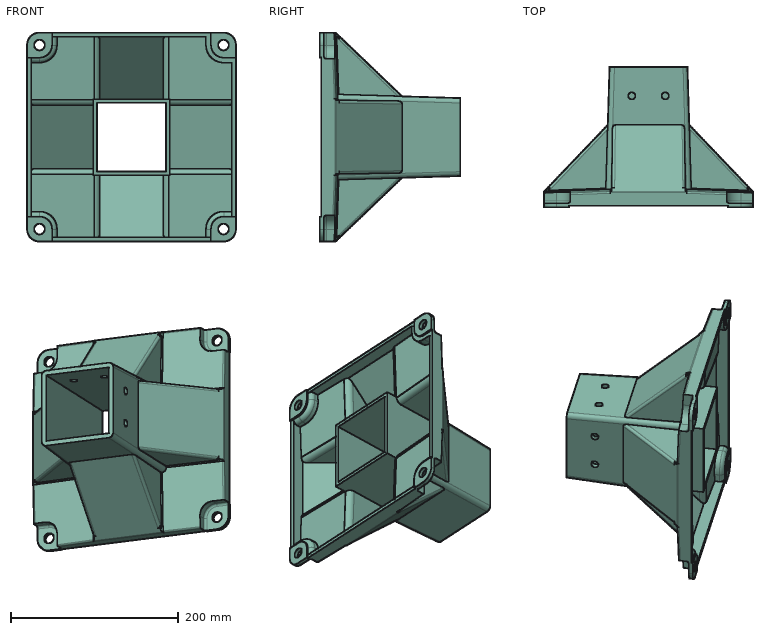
import cadquery as cq
import math

flange_half = 125.0
flange_corner_radius = 15.0
rim_front = 1.8
wall = 5.0
back_apex = 25.0
back_slope = 0.035
back_edge_radius = 2.0

socket_end = 168.0
socket_end_half = 46.8
socket_draft = 1.7
socket_corner_radius = 5.8
bore_half = 41.0
tube_half = 45.5

gusset_foot = 18.8
gusset_top = 98.5
gusset_top_half = 48.8
gusset_half_width = 44.2
gusset_draft = 0.7
gusset_edge_radius = 3.2
gusset_root_half = 43.8
gusset_root_radius = 2.0
pocket_half_width = 37.8
pocket_flare_radius = 7.0

bolt_inset = 15.0
bolt_diameter = 12.5
pad_side = 30.0
foot_floor = 5.0
recess_side = 31.5
recess_floor_radius = 3.0
cup_side = 36.0
cup_edge_radius = 5.5

cross_hole_diameter = 8.5
cross_hole_offset = 20.0
cross_hole_place = 133.2

corners = [(sx, sz) for sx in (-1, 1) for sz in (-1, 1)]
square_foot_corner = (1, 1)


def workplane_at(y):
    """Workplane at depth y whose extrusions grow towards +Y."""
    return cq.Workplane(cq.Plane((0, y, 0), (1, 0, 0), (0, 1, 0)))


def block(half, y_start, y_end):
    """Square block centred on the Y axis."""
    return workplane_at(y_start).rect(2 * half, 2 * half).extrude(y_end - y_start)


def tented_slab(half, y_start, apex):
    """Square slab whose back falls by back_slope along both X and Z."""
    slab = block(half, y_start, apex)
    for sx, sz in corners:
        normal = (sx * back_slope, 1, sz * back_slope)
        roof = cq.Plane((0, apex, 0), (1, -sx * back_slope, 0), normal)
        slab = slab.cut(cq.Workplane(roof).rect(4 * half, 4 * half).extrude(apex))
    return slab


def along_x_and_z(solid):
    """The solid joined with its copy turned a quarter about Y."""
    return solid.union(solid.rotate((0, 0, 0), (0, 1, 0), 90))


def roof_prism(foot_half, foot_y, top_half, top_y):
    """Trapezoid in X and Y, from the rim back, spanning the flange along Z."""
    outline = [
        (-foot_half, rim_front),
        (foot_half, rim_front),
        (foot_half, foot_y),
        (top_half, top_y),
        (-top_half, top_y),
        (-foot_half, foot_y),
    ]
    return cq.Workplane("XY").polyline(outline).close().extrude(flange_half, both=True)


def flared_arms(half_width, flare, apex, height):
    """Two arms along X that stand on a floor falling from apex, flared at their foot."""
    floor_y = apex - back_slope * half_width
    base_half = half_width + flare
    arms = cq.Workplane("XY")
    for side in (-1, 1):
        floor = cq.Plane((0, floor_y, 0), (0, 0, -side), (side, -back_slope, 0))
        arm = (
            cq.Workplane(floor)
            .moveTo(-base_half, 0)
            .radiusArc((-half_width, flare), -flare)
            .lineTo(-half_width, height)
            .lineTo(half_width, height)
            .lineTo(half_width, flare)
            .radiusArc((base_half, 0), -flare)
            .lineTo(base_half, -wall)
            .lineTo(-base_half, -wall)
            .close()
            .extrude(2 * flange_half)
        )
        arms = arms.union(arm) if arms.objects else arms.add(arm)
    return arms


def make_gussets():
    """Two crossing roofs: one gusset on each face of the socket."""
    roof = roof_prism(flange_half, gusset_foot, gusset_top_half, gusset_top)
    foot_edges = cq.selectors.BoxSelector(
        (-2 * flange_half, gusset_foot - 2.5, -2.5), (2 * flange_half, gusset_foot + 2.5, 2.5)
    )
    roof = roof.edges(foot_edges).fillet(back_edge_radius)
    drafted = (
        workplane_at(rim_front)
        .rect(4 * flange_half, 2 * gusset_half_width)
        .extrude(gusset_top, taper=gusset_draft)
    )
    sloped_edges = cq.selectors.BoxSelector(
        (-flange_half, gusset_foot + 2.5, -flange_half), (flange_half, gusset_top - 2.5, flange_half)
    )
    pair = roof.intersect(drafted).edges(sloped_edges).fillet(gusset_edge_radius)
    root = flared_arms(gusset_root_half, gusset_root_radius, back_apex, 2 * gusset_root_radius)
    pair = pair.union(roof.intersect(root))
    return along_x_and_z(pair)


def make_socket():
    """Drafted square post with rounded long edges."""
    length = socket_end - rim_front
    base_half = socket_end_half + length * math.tan(math.radians(socket_draft))
    post = workplane_at(rim_front).rect(2 * base_half, 2 * base_half).extrude(length, taper=socket_draft)
    return post.edges("not(|X or |Z)").fillet(socket_corner_radius)


def make_pocket_pair():
    """Space inside one pair of gussets, flared out where it meets the flange floor."""
    run = flange_half - gusset_top_half
    rise = gusset_top - gusset_foot
    slope = rise / run
    inner_half = flange_half - wall
    offset_y = wall * math.hypot(run, rise) / run
    inner_foot = gusset_foot + wall * slope - offset_y
    inner_top = inner_foot + (inner_half - tube_half) * slope
    roof = roof_prism(inner_half, inner_foot, tube_half, inner_top)

    floor_apex = back_apex - wall
    return roof.intersect(flared_arms(pocket_half_width, pocket_flare_radius, floor_apex, gusset_top))


def foot_block(sx, sz, side, y_start, y_end, front_radius=0):
    """Square block in a flange corner, rounded about the bolt on its inner edge."""
    centre = flange_half - side / 2
    foot = (
        workplane_at(y_start)
        .center(sx * centre, -sz * centre)
        .rect(side, side)
        .extrude(y_end - y_start)
    )
    inner_corner = (sx * (flange_half - side), (y_start + y_end) / 2, sz * (flange_half - side))
    foot = foot.edges(cq.selectors.NearestToPointSelector(inner_corner)).fillet(side - bolt_inset)
    if front_radius:
        front_arc = (inner_corner[0], y_start, inner_corner[2])
        foot = foot.edges(cq.selectors.NearestToPointSelector(front_arc)).fillet(front_radius)
    return foot


def make_shell():
    """Solid outside of the flange, gussets and socket."""
    back_edges = cq.selectors.BoxSelector(
        (-2 * flange_half, rim_front + wall, -2 * flange_half), (2 * flange_half, back_apex, 2 * flange_half)
    )
    flange = tented_slab(flange_half, rim_front, back_apex)
    flange = flange.edges(back_edges).edges("not(|Y)").fillet(back_edge_radius)
    ridge = workplane_at(rim_front).rect(2 * flange_half, 2 * pocket_half_width).extrude(back_apex)
    return flange.cut(along_x_and_z(ridge)).union(make_gussets()).union(make_socket())


def make_cavity():
    """Space under the flange and inside the gussets, around the tube and the cups."""
    floor = tented_slab(flange_half - wall, rim_front, back_apex - wall)
    cavity = floor.union(along_x_and_z(make_pocket_pair()))
    cavity = cavity.cut(block(tube_half, rim_front, gusset_top))
    for sx, sz in corners:
        radius = 0 if (sx, sz) == square_foot_corner else cup_edge_radius
        cavity = cavity.cut(foot_block(sx, sz, cup_side, rim_front, back_apex, radius))
    return cavity


def add_feet(body):
    """Bolt pads, bolt-head recesses and bolt holes in the four flange corners."""
    for sx, sz in corners:
        body = body.union(foot_block(sx, sz, pad_side, 0, foot_floor))
        body = body.cut(foot_block(sx, sz, recess_side, foot_floor, back_apex, recess_floor_radius))
    bolt_spacing = 2 * (flange_half - bolt_inset)
    bolts = workplane_at(0).rarray(bolt_spacing, bolt_spacing, 2, 2).circle(bolt_diameter / 2).extrude(back_apex)
    return body.cut(bolts)


def make_cross_holes():
    """Two holes through the -X wall of the socket and two through its +Z wall."""
    centres = [(-cross_hole_offset, cross_hole_place), (cross_hole_offset, cross_hole_place)]
    upper = cq.Workplane("XY").pushPoints(centres).circle(cross_hole_diameter / 2).extrude(flange_half)
    return upper.union(upper.rotate((0, 0, 0), (0, 1, 0), -90))


body = add_feet(make_shell().cut(make_cavity()))
body = body.cut(block(bore_half, 0, socket_end)).cut(make_cross_holes())
result = body.intersect(block(flange_half, 0, socket_end).edges("|Y").fillet(flange_corner_radius))